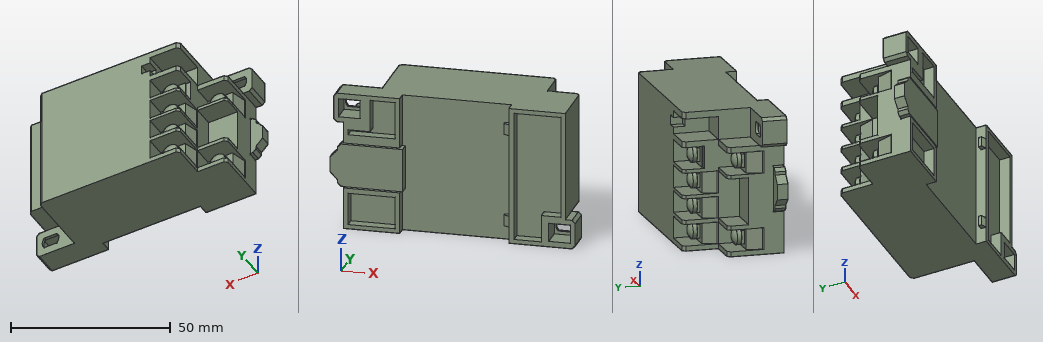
import cadquery as cq
import math


BODY_LENGTH = 71.65
WIDTH = 45.0
HEIGHT = 30.0
TIER_LENGTH = 10.5
LOW_TIER_HEIGHT = 18.4
EDGE_CHAMFER = 1.0

TAB_HEIGHT = 8.0
LEFT_TAB_REACH = 3.15
RIGHT_TAB_REACH = 3.2
TAB_WIDTH = 9.55
TAB_POCKET_LENGTH = 7.0
TAB_POCKET_WIDTH = 6.0
TAB_POCKET_DEPTH = 7.0
TAB_SLOT_LENGTH = 6.0
TAB_SLOT_WIDTH = 3.9
TAB_SLOT_END_DIAMETER = 5.6
LEFT_TAB_HOLE = (1.85, 40.15)
RIGHT_TAB_HOLE = (69.8, 4.85)

RAIL_DEPTH = 3.5
RAIL_START = 18.15
RAIL_END = 53.4
NUB_REACH = 1.75
NUB_WIDTH = 3.6
NUB_TOP = 1.8
NUB_TIP_BOTTOM = 0.8
NUB_CENTRES = (7.25, 37.75)

LATCH_CENTRE = 21.05
LATCH_HALF_WIDTH = 7.05
LATCH_END = 19.1
LATCH_REACH = 4.35
LATCH_SHOULDER_REACH = 1.95
LATCH_CHAMFER = 1.1
LATCH_TIP_HALF_WIDTH = 2.5
LATCH_TAPER_HALF_WIDTH = 4.95
LATCH_GAP = 0.45

POCKET_WALL = 1.45
POCKET_DEPTH = 3.6
LEFT_POCKET_END = 16.7
LOWER_POCKET_TOP = 11.9
UPPER_POCKET_BOTTOM = 31.45
UPPER_POCKET_STEP = (8.6, 33.1)
RIGHT_POCKET_START = 55.1
RIGHT_POCKET_STEP = (63.9, 10.25)

WELL_1 = (1.65, 8.65)
WELL_2 = (10.0, 16.95)
WELL_3 = (18.05, 25.25)
WELL_4 = (26.4, 33.55)
WELL_DEPTH = 10.5
LOW_FLOOR = 11.55
HIGH_FLOOR = 22.9
RAMP_SETBACK = 1.5
RAMP_TOE = 0.3
LOW_RAMP_BOTTOM = 6.6
MIDDLE_RECESS = (WELL_2[0], WELL_3[1])

PLATE_THICKNESS = 0.45
SCREW_SETBACK = 5.6
WASHER_SIZE = 4.4
WASHER_THICKNESS = 1.0
HEAD_DIAMETER = 5.6
HEAD_RIM = 1.4
DOME_HEIGHT = 1.15

BAY = (WIDTH - TAB_WIDTH, 42.85)
NOTCH = (37.6, 40.7)
NOTCH_BOTTOM = 26.15
NOTCH_DEPTH = 3.0


def block(x, y, z):
    """Box spanning the given (low, high) pairs."""
    size = [high - low for low, high in (x, y, z)]
    return cq.Workplane("XY").box(*size, centered=False).translate((x[0], y[0], z[0]))


def extrude_y(points, bottom, top):
    """Outline of (X, Z) points extruded along Y."""
    outline = cq.Workplane("XZ", origin=(0, bottom, 0)).polyline(points).close()
    return outline.extrude(bottom - top)


def extrude_z(points, z):
    """Outline of (X, Y) points extruded between two Z levels."""
    outline = cq.Workplane("XY", origin=(0, 0, z[0])).polyline(points).close()
    return outline.extrude(z[1] - z[0])


def stepped_body():
    right_tier = BODY_LENGTH - TIER_LENGTH
    low = block((0, BODY_LENGTH), (0, LOW_TIER_HEIGHT), (0, WIDTH))
    low = low.edges("|Z and >Y").chamfer(EDGE_CHAMFER)
    tall = block((TIER_LENGTH, right_tier), (0, HEIGHT), (0, WIDTH))
    tall = tall.edges("|Z and >Y").chamfer(EDGE_CHAMFER)
    above_left_tab = block((0, TIER_LENGTH), (TAB_HEIGHT, LOW_TIER_HEIGHT), (WIDTH - TAB_WIDTH, WIDTH))
    above_right_tab = block((right_tier, BODY_LENGTH), (TAB_HEIGHT, LOW_TIER_HEIGHT), (0, TAB_WIDTH))
    return low.cut(above_left_tab).cut(above_right_tab).union(tall)


def mounting_tabs():
    left = block((-LEFT_TAB_REACH, TIER_LENGTH), (0, TAB_HEIGHT), (WIDTH - TAB_WIDTH, WIDTH))
    left = left.edges("|Y and <X").chamfer(EDGE_CHAMFER)
    right_end = BODY_LENGTH + RIGHT_TAB_REACH
    right = block((BODY_LENGTH - TIER_LENGTH, right_end), (0, TAB_HEIGHT), (0, TAB_WIDTH))
    right = right.edges("|Y and >X").chamfer(EDGE_CHAMFER)
    return left.union(right)


def tab_hole(centre):
    """Rectangular pocket from the rail side, ending in a through slot with bowed ends."""
    x, z = centre
    face = cq.Workplane("XZ", origin=(x, 0, z))
    pocket = face.rect(TAB_POCKET_LENGTH, TAB_POCKET_WIDTH).extrude(-TAB_POCKET_DEPTH)
    half_length = TAB_SLOT_LENGTH / 2
    half_width = TAB_SLOT_WIDTH / 2
    end_radius = TAB_SLOT_END_DIAMETER / 2
    bow = end_radius - math.sqrt(end_radius**2 - half_width**2)
    corner = half_length - bow
    slot = (
        face.moveTo(-corner, -half_width)
        .lineTo(corner, -half_width)
        .threePointArc((half_length, 0), (corner, half_width))
        .lineTo(-corner, half_width)
        .threePointArc((-half_length, 0), (-corner, -half_width))
        .close()
        .extrude(-TAB_HEIGHT)
    )
    return pocket.union(slot)


def rail_nub(centre):
    tip = RAIL_END - NUB_REACH
    profile = [(RAIL_END, 0), (RAIL_END, NUB_TOP), (tip, NUB_TOP), (tip, NUB_TIP_BOTTOM)]
    return extrude_z(profile, (centre - NUB_WIDTH / 2, centre + NUB_WIDTH / 2))


def latch_slot():
    half = LATCH_HALF_WIDTH + LATCH_GAP
    return block((0, RAIL_START), (0, RAIL_DEPTH), (LATCH_CENTRE - half, LATCH_CENTRE + half))


def latch():
    upper = [
        (LATCH_END, LATCH_HALF_WIDTH),
        (LATCH_CHAMFER - LATCH_SHOULDER_REACH, LATCH_HALF_WIDTH),
        (-LATCH_SHOULDER_REACH, LATCH_HALF_WIDTH - LATCH_CHAMFER),
        (-LATCH_SHOULDER_REACH, LATCH_TAPER_HALF_WIDTH),
        (-LATCH_REACH, LATCH_TIP_HALF_WIDTH),
    ]
    lower = [(x, -z) for x, z in reversed(upper)]
    return extrude_y(upper + lower, 0, RAIL_DEPTH).translate((0, 0, LATCH_CENTRE))


def foot_pockets():
    top = WIDTH - POCKET_WALL
    lower_left = block((POCKET_WALL, LEFT_POCKET_END), (0, POCKET_DEPTH), (POCKET_WALL, LOWER_POCKET_TOP))
    step_x, step_z = UPPER_POCKET_STEP
    upper_left = extrude_y(
        [
            (POCKET_WALL, UPPER_POCKET_BOTTOM),
            (LEFT_POCKET_END, UPPER_POCKET_BOTTOM),
            (LEFT_POCKET_END, top),
            (step_x, top),
            (step_x, step_z),
            (POCKET_WALL, step_z),
        ],
        0,
        POCKET_DEPTH,
    )
    right_x = BODY_LENGTH - POCKET_WALL
    step_x, step_z = RIGHT_POCKET_STEP
    right = extrude_y(
        [
            (RIGHT_POCKET_START, POCKET_WALL),
            (step_x, POCKET_WALL),
            (step_x, step_z),
            (right_x, step_z),
            (right_x, top),
            (RIGHT_POCKET_START, top),
        ],
        0,
        POCKET_DEPTH,
    )
    return lower_left.union(upper_left).union(right)


def well(front, floor, top, z):
    return block((front, front + WELL_DEPTH), (floor, top), z)


def ramp_cut(front, floor, bottom, z):
    """Wedge below a well floor: a steep ramp with a short 45 degree toe."""
    profile = [
        (front, bottom),
        (front + RAMP_TOE, bottom + RAMP_TOE),
        (front + RAMP_SETBACK, floor),
        (front, floor),
    ]
    return extrude_z(profile, z)


def terminal(front, floor, z):
    """Clamping plate on the well floor, with a washer and a domed screw head on it."""
    plate_top = floor + PLATE_THICKNESS
    washer_top = plate_top + WASHER_THICKNESS
    rim_top = washer_top + HEAD_RIM
    plate_x = (front + RAMP_SETBACK, front + WELL_DEPTH)
    screw_x = front + SCREW_SETBACK
    screw_z = sum(z) / 2
    half_washer = WASHER_SIZE / 2
    plate = block(plate_x, (floor, plate_top), z)
    washer = block(
        (screw_x - half_washer, screw_x + half_washer),
        (plate_top, washer_top),
        (screw_z - half_washer, screw_z + half_washer),
    )

    head_radius = HEAD_DIAMETER / 2
    dome_radius = (head_radius**2 + DOME_HEIGHT**2) / (2 * DOME_HEIGHT)
    half_angle = math.asin(head_radius / dome_radius) / 2
    dome_mid = (
        dome_radius * math.sin(half_angle),
        rim_top + DOME_HEIGHT - dome_radius * (1 - math.cos(half_angle)),
    )
    head = (
        cq.Workplane("XY")
        .moveTo(0, washer_top)
        .lineTo(head_radius, washer_top)
        .lineTo(head_radius, rim_top)
        .threePointArc(dome_mid, (0, rim_top + DOME_HEIGHT))
        .close()
        .revolve(360, (0, 0, 0), (0, 1, 0))
        .translate((screw_x, 0, screw_z))
    )
    return plate.union(washer).union(head)


def end_bay():
    bay_end = TIER_LENGTH + WELL_DEPTH
    bay = block((TIER_LENGTH, bay_end), (LOW_TIER_HEIGHT, HEIGHT), BAY)
    notch = block((bay_end, bay_end + NOTCH_DEPTH), (NOTCH_BOTTOM, HEIGHT), NOTCH)
    return bay.union(notch)


part = stepped_body().union(mounting_tabs())
part = part.cut(block((RAIL_START, RAIL_END), (0, RAIL_DEPTH), (0, WIDTH)))
part = part.cut(foot_pockets())
part = part.cut(latch_slot()).union(latch())
for centre in NUB_CENTRES:
    part = part.union(rail_nub(centre))
for hole_centre in (LEFT_TAB_HOLE, RIGHT_TAB_HOLE):
    part = part.cut(tab_hole(hole_centre))

part = part.cut(end_bay())
part = part.cut(block((0, TIER_LENGTH), (LOW_FLOOR, LOW_TIER_HEIGHT), MIDDLE_RECESS))

for span in (WELL_1, WELL_4):
    part = part.cut(well(0, LOW_FLOOR, LOW_TIER_HEIGHT, span))
    part = part.cut(ramp_cut(0, LOW_FLOOR, LOW_RAMP_BOTTOM, span))
    part = part.union(terminal(0, LOW_FLOOR, span))

for span in (WELL_1, WELL_2, WELL_3, WELL_4):
    part = part.cut(well(TIER_LENGTH, HIGH_FLOOR, HEIGHT, span))
    part = part.union(terminal(TIER_LENGTH, HIGH_FLOOR, span))
for span in (WELL_1, WELL_2, WELL_3):
    part = part.cut(ramp_cut(TIER_LENGTH, HIGH_FLOOR, LOW_TIER_HEIGHT, span))

result = part